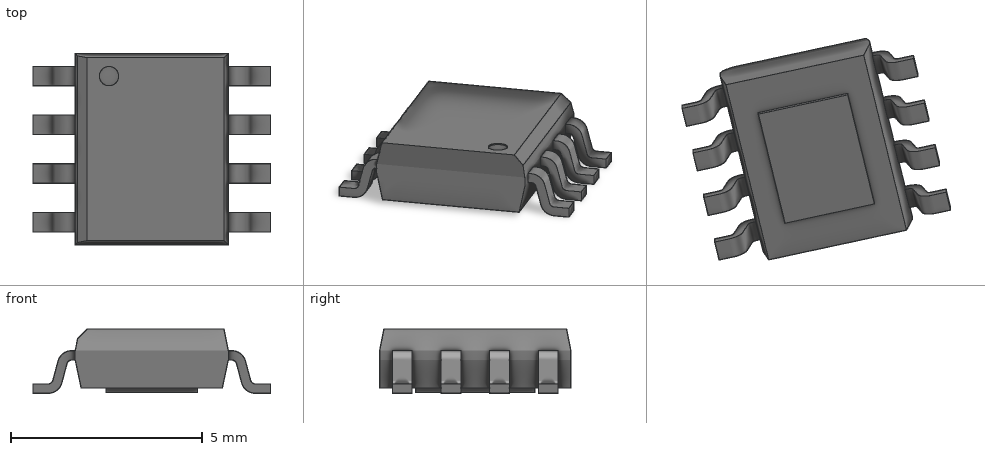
import cadquery as cq
import math

SPAN = 6.2
BODY_WIDTH = 4.0
BODY_LENGTH = 5.0
TOP_Z = 1.68
BODY_BOTTOM_Z = 0.135

LEAD_COUNT = 4
LEAD_PITCH = 1.27
LEAD_WIDTH = 0.515
LEAD_THICKNESS = 0.25
LEAD_TOP_Z = 1.115
FOOT_LENGTH = 0.395
INNER_BEND = 0.125
LEG_TILT = 15.0

UPPER_DRAFT_INSET = 0.11
LOWER_DRAFT_INSET = 0.155
PIN_ONE_CHAMFER = 0.25

MARK_DIAMETER = 0.5
MARK_X = -1.115
MARK_DEPTH = 0.03

PAD_WIDTH = 2.4
PAD_LENGTH = 3.11
PAD_BOTTOM_Z = 0.02

HALF_WIDTH = BODY_WIDTH / 2
HALF_LENGTH = BODY_LENGTH / 2
LEAD_UNDERSIDE_Z = LEAD_TOP_Z - LEAD_THICKNESS
OUTER_BEND = INNER_BEND + LEAD_THICKNESS
LEAD_ROWS = [(i - (LEAD_COUNT - 1) / 2) * LEAD_PITCH for i in range(LEAD_COUNT)]


def make_lower_body():
    """Lower half: vertical beside the leads, then drawn in towards the bottom along X only."""
    bottom_half_width = HALF_WIDTH - LOWER_DRAFT_INSET
    return (
        cq.Workplane("XZ")
        .polyline([
            (-bottom_half_width, BODY_BOTTOM_Z),
            (bottom_half_width, BODY_BOTTOM_Z),
            (HALF_WIDTH, LEAD_UNDERSIDE_Z),
            (HALF_WIDTH, LEAD_TOP_Z),
            (-HALF_WIDTH, LEAD_TOP_Z),
            (-HALF_WIDTH, LEAD_UNDERSIDE_Z),
        ])
        .close()
        .extrude(HALF_LENGTH, both=True)
    )


def make_upper_body():
    """Upper half: all four sides drawn in equally towards the top face."""
    height = TOP_Z - LEAD_TOP_Z
    draft = math.degrees(math.atan2(UPPER_DRAFT_INSET, height))
    return (
        cq.Workplane("XY", origin=(0, 0, LEAD_TOP_Z))
        .rect(BODY_WIDTH, BODY_LENGTH)
        .extrude(height, taper=draft)
    )


def make_chamfer_cutter():
    """Wedge that takes off the top edge along the pin 1 side, at 45 degrees."""
    slope = UPPER_DRAFT_INSET / (TOP_Z - LEAD_TOP_Z)
    low_x = -HALF_WIDTH + slope * (TOP_Z - PIN_ONE_CHAMFER - LEAD_TOP_Z)
    top_x = low_x + PIN_ONE_CHAMFER
    outer_x = -HALF_WIDTH
    return (
        cq.Workplane("XZ")
        .polyline([
            (top_x, TOP_Z),
            (outer_x, TOP_Z),
            (outer_x, TOP_Z - (top_x - outer_x)),
        ])
        .close()
        .extrude(HALF_LENGTH, both=True)
    )


def make_pin_one_mark():
    """Shallow round recess in the top face, in line with the last lead row."""
    return (
        cq.Workplane("XY", origin=(MARK_X, LEAD_ROWS[-1], TOP_Z - MARK_DEPTH))
        .circle(MARK_DIAMETER / 2)
        .extrude(MARK_DEPTH)
    )


def make_body():
    body = make_lower_body().union(make_upper_body())
    return body.cut(make_chamfer_cutter()).cut(make_pin_one_mark())


def make_lead(row_y):
    """Gull-wing lead on the +X side, from the body wall out to its foot."""
    tilt = math.radians(LEG_TILT)
    toe_x = SPAN / 2
    shoulder_z = LEAD_TOP_Z - OUTER_BEND
    ankle_z = OUTER_BEND
    ankle_x = toe_x - FOOT_LENGTH
    bend_sum = INNER_BEND + OUTER_BEND
    leg_length = (shoulder_z - ankle_z + bend_sum * math.sin(tilt)) / math.cos(tilt)
    shoulder_x = ankle_x - bend_sum * math.cos(tilt) - leg_length * math.sin(tilt)

    def shoulder_point(radius, angle):
        return (shoulder_x + radius * math.cos(angle), shoulder_z + radius * math.sin(angle))

    def ankle_point(radius, angle):
        return (ankle_x - radius * math.cos(angle), ankle_z - radius * math.sin(angle))

    straight_up = math.pi / 2
    middle = (tilt + straight_up) / 2
    return (
        cq.Workplane("XZ", origin=(0, row_y, 0))
        .moveTo(HALF_WIDTH, LEAD_TOP_Z)
        .lineTo(shoulder_x, LEAD_TOP_Z)
        .threePointArc(shoulder_point(OUTER_BEND, middle), shoulder_point(OUTER_BEND, tilt))
        .lineTo(*ankle_point(INNER_BEND, tilt))
        .threePointArc(ankle_point(INNER_BEND, middle), ankle_point(INNER_BEND, straight_up))
        .lineTo(toe_x, LEAD_THICKNESS)
        .lineTo(toe_x, 0)
        .lineTo(ankle_x, 0)
        .threePointArc(ankle_point(OUTER_BEND, middle), ankle_point(OUTER_BEND, tilt))
        .lineTo(*shoulder_point(INNER_BEND, tilt))
        .threePointArc(shoulder_point(INNER_BEND, middle), shoulder_point(INNER_BEND, straight_up))
        .lineTo(HALF_WIDTH, LEAD_UNDERSIDE_Z)
        .close()
        .extrude(LEAD_WIDTH / 2, both=True)
    )


def make_thermal_pad():
    """Flat pad against the bottom face, just clear of the seating plane."""
    return (
        cq.Workplane("XY", origin=(0, 0, PAD_BOTTOM_Z))
        .rect(PAD_WIDTH, PAD_LENGTH)
        .extrude(BODY_BOTTOM_Z - PAD_BOTTOM_Z)
    )


body = make_body()
thermal_pad = make_thermal_pad()

leads = []
for row_y in LEAD_ROWS:
    lead = make_lead(row_y)
    leads.append(lead.val())
    leads.append(lead.mirror("YZ").val())

result = cq.Compound.makeCompound([body.val(), thermal_pad.val(), *leads])